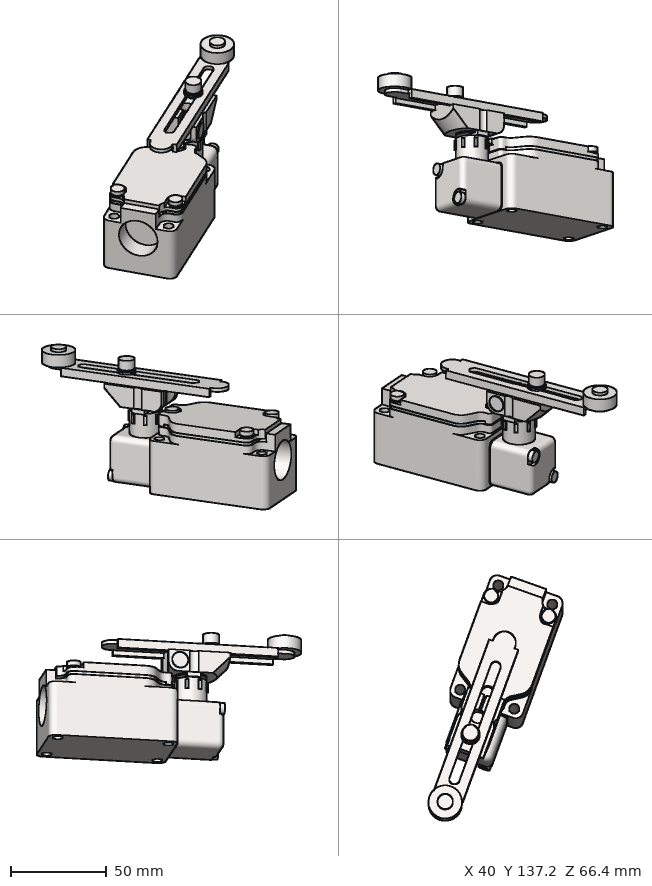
import cadquery as cq
import math


HOUSING_WIDTH = 40.0
HOUSING_LENGTH = 68.5
HOUSING_CORNER_R = 4.0
EAR_Z = 29.2
MOUNT_HOLE_D = 5.2
MOUNT_HOLE_X = 15.0
MOUNT_HOLE_FRONT_Y = 5.1
MOUNT_HOLE_REAR_Y = 63.8
CABLE_HOLE_D = 21.3
CABLE_HOLE_Z = 21.7
CABLE_HOLE_DEPTH = 11.0

NECK_HALF_WIDTH = 9.7
RAISED_FRONT_Y = 5.5
RAISED_REAR_Y = 67.2
EAR_POCKET_R = 4.3
REAR_POCKET_Y = 63.6
FRONT_SHOULDER_R = 3.5
REAR_SHOULDER_R = 7.5
REAR_SHOULDER_ANGLE = math.radians(32.3)
REAR_CORNER_R = 2.0

SEAL_Z = 33.7
COVER_Z = 35.4
COVER_TOP_Z = 40.5
SEAL_INSET = 0.4
REAR_SEAL_GAP = 0.3
ENTRY_BLOCK_TOP_Z = 38.4
ENTRY_BLOCK_DEPTH = 5.1

COVER_SCREW_D = 7.3
COVER_SCREW_NECK_D = 6.0
COVER_SCREW_TOP_Z = 41.3
COVER_SCREW_BOTTOM_Z = 38.5
SCREW_RECESS_Z = 37.6
SCREW_RECESS_R = 4.5
FRONT_SCREW_X = 15.9
FRONT_SCREW_Y = 13.5
REAR_SCREW_Y = 63.2

HEAD_WIDTH = 25.5
HEAD_BOTTOM_Z = 0.3
HEAD_TOP_Z = 25.9
HEAD_REAR_Y = 94.1
HEAD_EDGE_R = 3.3
HEAD_REAR_R = 3.0
FLANGE_MARGIN = 0.3
FLANGE_THICKNESS = 0.4
HEAD_SCREW_D = 6.2
HEAD_SCREW_X = 9.3
HEAD_SCREW_INSET_Z = 3.3
HEAD_SCREW_PROUD = 0.4
HEAD_SCREW_LENGTH = 2.7
HEAD_SCREW_POCKET_D = 9.6

SHAFT_Y = 78.5
BEARING_D = 17.1
BEARING_TOP_Z = 39.2
RIB_COUNT = 8
RIB_WIDTH = 1.6
RIB_RADIUS = 9.2
RIB_BOTTOM_Z = 33.0
RIB_TOP_Z = 38.0
SHAFT_D = 7.3
SHAFT_TOP_Z = 48.0

HUB_WIDTH = 20.0
HUB_FRONT_Y = 65.0
HUB_REAR_Y = 97.8
HUB_BOTTOM_Z = 41.7
HUB_FRONT_R = 5.1
HUB_RAMP_LENGTH = 5.5
HUB_RAMP_R = 20.2
HUB_SLIT = 1.2
HUB_BOSS_HEIGHT = 0.8
HUB_SPACER_D = 10.1
HUB_SPACER_HEIGHT = 0.4
POINTER_LENGTH = 19.7
POINTER_WIDTH = 7.1
FRONT_SCOOP_R = 15.1
FRONT_SCOOP_DEPTH = 1.6
SIDE_GROOVE_R = 3.2
SIDE_GROOVE_DEPTH = 1.03
CLAMP_SCREW_D = 8.5
CLAMP_SCREW_Y = 71.0
CLAMP_SCREW_Z = 47.7
CLAMP_SCREW_PROUD = 0.5
BOLT_Y = 89.4
BOLT_HEAD_D = 8.5
BOLT_HEAD_BOTTOM_Z = 60.0
BOLT_TOP_Z = 65.3
BOLT_WASHER_D = 9.7
BOLT_WASHER_THICKNESS = 1.1
BOLT_NECK_D = 8.1

ARM_WIDTH = 16.2
ARM_FRONT_Y = 38.5
ARM_REAR_Y = 123.5
ARM_BOTTOM_Z = 53.2
ARM_TOP_Z = 57.9
ARM_PLATE_THICKNESS = 2.0
CHANNEL_WIDTH = 12.1
TONGUE_TIP_Y = 31.4
SLOT_WIDTH = 5.3
SLOT_FRONT_Y = 48.1
SLOT_REAR_Y = 116.9

ROLLER_D = 17.5
OVERALL_LENGTH = 137.2
ROLLER_Y = OVERALL_LENGTH - ROLLER_D / 2
ROLLER_TOP_Z = 64.7
ROLLER_SEAT_R = 5.2
PIN_D = 8.1
PIN_TOP_Z = 66.4

CHANNEL_TOP_Z = ARM_TOP_Z - ARM_PLATE_THICKNESS


def block(width, y_range, z_range):
    """Box centred on X = 0."""
    length = y_range[1] - y_range[0]
    height = z_range[1] - z_range[0]
    return (
        cq.Workplane("XY", origin=(0, (y_range[0] + y_range[1]) / 2, z_range[0]))
        .box(width, length, height, centered=(True, True, False))
    )


def post(diameter, x, y, z_range):
    """Upright cylinder."""
    return (
        cq.Workplane("XY", origin=(x, y, z_range[0]))
        .circle(diameter / 2)
        .extrude(z_range[1] - z_range[0])
    )


def on_circle(centre, radius, angle):
    """Point on a circle, with the angle in radians from +X."""
    return (centre[0] + radius * math.cos(angle), centre[1] + radius * math.sin(angle))


def raised_outline(z):
    """Outline of the raised part and the cover, cut away around the four ears."""
    half_width = HOUSING_WIDTH / 2
    quarter = math.pi / 2
    slope = quarter - REAR_SHOULDER_ANGLE

    front_pocket = (NECK_HALF_WIDTH + EAR_POCKET_R, RAISED_FRONT_Y)
    front_shoulder = (half_width - FRONT_SHOULDER_R, RAISED_FRONT_Y + EAR_POCKET_R + FRONT_SHOULDER_R)
    rear_pocket = (NECK_HALF_WIDTH + EAR_POCKET_R, REAR_POCKET_Y)
    rear_corner = (NECK_HALF_WIDTH - REAR_CORNER_R, RAISED_REAR_Y - REAR_CORNER_R)

    shoulder_x = half_width - REAR_SHOULDER_R
    shoulder_drop = (
        EAR_POCKET_R + REAR_SHOULDER_R + (shoulder_x - rear_pocket[0]) * math.cos(slope)
    ) / math.sin(slope)
    rear_shoulder = (shoulder_x, REAR_POCKET_Y - shoulder_drop)

    return (
        cq.Workplane("XY", origin=(0, 0, z))
        .moveTo(0, RAISED_FRONT_Y)
        .lineTo(NECK_HALF_WIDTH, RAISED_FRONT_Y)
        .threePointArc(
            on_circle(front_pocket, EAR_POCKET_R, 1.5 * quarter),
            on_circle(front_pocket, EAR_POCKET_R, quarter),
        )
        .lineTo(*on_circle(front_shoulder, FRONT_SHOULDER_R, -quarter))
        .threePointArc(
            on_circle(front_shoulder, FRONT_SHOULDER_R, -quarter / 2),
            on_circle(front_shoulder, FRONT_SHOULDER_R, 0),
        )
        .lineTo(*on_circle(rear_shoulder, REAR_SHOULDER_R, 0))
        .threePointArc(
            on_circle(rear_shoulder, REAR_SHOULDER_R, slope / 2),
            on_circle(rear_shoulder, REAR_SHOULDER_R, slope),
        )
        .lineTo(*on_circle(rear_pocket, EAR_POCKET_R, math.pi + slope))
        .threePointArc(
            on_circle(rear_pocket, EAR_POCKET_R, math.pi + slope / 2),
            on_circle(rear_pocket, EAR_POCKET_R, math.pi),
        )
        .lineTo(*on_circle(rear_corner, REAR_CORNER_R, 0))
        .threePointArc(
            on_circle(rear_corner, REAR_CORNER_R, quarter / 2),
            on_circle(rear_corner, REAR_CORNER_R, quarter),
        )
        .lineTo(0, RAISED_REAR_Y)
        .mirrorY()
    )


def make_case():
    """Lower case with its cable entry block, ears and mounting holes."""
    case = block(HOUSING_WIDTH, (0, HOUSING_LENGTH), (0, EAR_Z)).edges("|Z").fillet(HOUSING_CORNER_R)
    case = case.union(raised_outline(EAR_Z).extrude(SEAL_Z - EAR_Z))
    entry_width = 2 * NECK_HALF_WIDTH
    case = case.union(block(entry_width, (0, RAISED_FRONT_Y), (EAR_Z, SEAL_Z)))
    case = case.union(block(entry_width, (0, ENTRY_BLOCK_DEPTH), (SEAL_Z, ENTRY_BLOCK_TOP_Z)))
    for x in (-MOUNT_HOLE_X, MOUNT_HOLE_X):
        for y in (MOUNT_HOLE_FRONT_Y, MOUNT_HOLE_REAR_Y):
            case = case.cut(post(MOUNT_HOLE_D, x, y, (0, EAR_Z)))
    cable_hole = (
        cq.Workplane("XZ", origin=(0, 0, CABLE_HOLE_Z))
        .circle(CABLE_HOLE_D / 2)
        .extrude(-CABLE_HOLE_DEPTH)
    )
    return case.cut(cable_hole)


def make_seal():
    """Narrower layer between case and cover, stopping short of the front ears."""
    seal_front_y = RAISED_FRONT_Y + EAR_POCKET_R
    layer = raised_outline(SEAL_Z).offset2D(-SEAL_INSET).extrude(COVER_Z - SEAL_Z)
    return layer.intersect(block(HOUSING_WIDTH, (seal_front_y, RAISED_REAR_Y), (SEAL_Z, COVER_Z)))


def make_cover():
    """Cover plate with a rear tab and three recessed screws."""
    cover = raised_outline(COVER_Z).extrude(COVER_TOP_Z - COVER_Z)
    tab_z = SEAL_Z + REAR_SEAL_GAP
    tab_zone = block(HOUSING_WIDTH, (REAR_POCKET_Y, RAISED_REAR_Y), (tab_z, COVER_Z))
    cover = cover.union(raised_outline(tab_z).extrude(COVER_Z - tab_z).intersect(tab_zone))

    recess_z = (SCREW_RECESS_Z, COVER_TOP_Z)
    screws = [(-FRONT_SCREW_X, FRONT_SCREW_Y), (FRONT_SCREW_X, FRONT_SCREW_Y), (0, REAR_SCREW_Y)]
    for x, y in screws:
        cover = cover.cut(post(2 * SCREW_RECESS_R, x, y, recess_z))
    for side in (-1, 1):
        open_size = 2 * SCREW_RECESS_R
        to_side = block(open_size, (FRONT_SCREW_Y - SCREW_RECESS_R, FRONT_SCREW_Y + SCREW_RECESS_R), recess_z)
        to_front = block(open_size, (RAISED_FRONT_Y, FRONT_SCREW_Y), recess_z)
        cover = cover.cut(to_side.translate((side * (FRONT_SCREW_X + SCREW_RECESS_R), 0, 0)))
        cover = cover.cut(to_front.translate((side * FRONT_SCREW_X, 0, 0)))
    for x, y in screws:
        cover = cover.union(post(COVER_SCREW_NECK_D, x, y, (SCREW_RECESS_Z, COVER_SCREW_BOTTOM_Z)))
        cover = cover.union(post(COVER_SCREW_D, x, y, (COVER_SCREW_BOTTOM_Z, COVER_SCREW_TOP_Z)))
    return cover


def make_housing():
    return make_case().union(make_seal()).union(make_cover())


def make_head():
    """Head box with its flange, rear screws, ribbed bearing and lever shaft."""
    head = block(HEAD_WIDTH, (HOUSING_LENGTH, HEAD_REAR_Y), (HEAD_BOTTOM_Z, HEAD_TOP_Z))
    head = head.edges("|Y").fillet(HEAD_EDGE_R).faces(">Y").edges().fillet(HEAD_REAR_R)

    flange = block(
        HEAD_WIDTH + 2 * FLANGE_MARGIN,
        (HOUSING_LENGTH, HOUSING_LENGTH + FLANGE_THICKNESS),
        (HEAD_BOTTOM_Z, HEAD_TOP_Z + FLANGE_MARGIN),
    )
    head = head.union(flange.edges("|Y").fillet(HEAD_EDGE_R))

    screw_end_y = HEAD_REAR_Y + HEAD_SCREW_PROUD
    lower_left = (-HEAD_SCREW_X, HEAD_BOTTOM_Z + HEAD_SCREW_INSET_Z)
    upper_right = (HEAD_SCREW_X, HEAD_TOP_Z - HEAD_SCREW_INSET_Z)
    for x, z in (lower_left, upper_right):
        axis = cq.Workplane("XZ", origin=(x, screw_end_y, z))
        head = head.cut(axis.circle(HEAD_SCREW_POCKET_D / 2).extrude(HEAD_SCREW_LENGTH))
        head = head.union(axis.circle(HEAD_SCREW_D / 2).extrude(HEAD_SCREW_LENGTH))

    bearing = post(BEARING_D, 0, SHAFT_Y, (HEAD_TOP_Z, BEARING_TOP_Z))
    for index in range(RIB_COUNT):
        rib = (
            cq.Workplane("XY", origin=(0, 0, RIB_BOTTOM_Z))
            .center(RIB_RADIUS / 2, 0)
            .rect(RIB_RADIUS, RIB_WIDTH)
            .extrude(RIB_TOP_Z - RIB_BOTTOM_Z)
            .rotate((0, 0, 0), (0, 0, 1), (index + 0.5) * 360 / RIB_COUNT)
            .translate((0, SHAFT_Y, 0))
        )
        bearing = bearing.union(rib)
    head = head.union(bearing)
    return head.union(post(SHAFT_D, 0, SHAFT_Y, (BEARING_TOP_Z, SHAFT_TOP_Z)))


def ramp_crown():
    """Large cylinder along the 45 degree ramp; its underside crowns the rear end of the hub."""
    slope = math.sqrt(0.5)
    ramp_start = (0, HUB_REAR_Y - HUB_RAMP_LENGTH, HUB_BOTTOM_Z)
    axis_point = (0, ramp_start[1] - HUB_RAMP_R * slope, ramp_start[2] + HUB_RAMP_R * slope)
    plane = cq.Plane(origin=axis_point, xDir=(1, 0, 0), normal=(0, slope, slope))
    hub_length = HUB_REAR_Y - HUB_FRONT_Y
    return cq.Workplane(plane).circle(HUB_RAMP_R).extrude(2 * hub_length, both=True)


def make_hub():
    """Clamping hub with a tongue that fits the arm channel, its clamp screw and the arm bolt."""
    hub = block(HUB_WIDTH, (HUB_FRONT_Y, HUB_REAR_Y), (HUB_BOTTOM_Z, ARM_BOTTOM_Z))
    hub = hub.faces("<Z").edges("<Y").fillet(HUB_FRONT_R)
    hub = hub.intersect(ramp_crown())
    hub = hub.union(block(CHANNEL_WIDTH, (HUB_FRONT_Y, HUB_REAR_Y), (ARM_BOTTOM_Z, CHANNEL_TOP_Z)))

    boss_bottom_z = HUB_BOTTOM_Z - HUB_BOSS_HEIGHT
    cut_z = (BEARING_TOP_Z, CHANNEL_TOP_Z)
    hub = hub.union(post(BEARING_D, 0, SHAFT_Y, (boss_bottom_z, HUB_BOTTOM_Z)))
    pointer_y = (SHAFT_Y - POINTER_WIDTH / 2, SHAFT_Y + POINTER_WIDTH / 2)
    spacer_z = (BEARING_TOP_Z, BEARING_TOP_Z + HUB_SPACER_HEIGHT)
    hub = hub.union(block(POINTER_LENGTH, pointer_y, (BEARING_TOP_Z, HUB_BOTTOM_Z)))
    hub = hub.union(post(HUB_SPACER_D, 0, SHAFT_Y, spacer_z))
    scoop_y = HUB_FRONT_Y + FRONT_SCOOP_DEPTH - FRONT_SCOOP_R
    hub = hub.cut(post(2 * FRONT_SCOOP_R, 0, scoop_y, cut_z))
    groove_x = HUB_WIDTH / 2 - SIDE_GROOVE_DEPTH + SIDE_GROOVE_R
    for x in (-groove_x, groove_x):
        hub = hub.cut(post(2 * SIDE_GROOVE_R, x, SHAFT_Y, (HUB_BOTTOM_Z, ARM_BOTTOM_Z)))

    hub = hub.cut(post(SHAFT_D, 0, SHAFT_Y, cut_z))
    hub = hub.cut(block(HUB_SLIT, (HUB_FRONT_Y, SHAFT_Y), cut_z))

    clamp_screw = (
        cq.Workplane("YZ", origin=(HUB_WIDTH / 2, CLAMP_SCREW_Y, CLAMP_SCREW_Z))
        .circle(CLAMP_SCREW_D / 2)
        .extrude(CLAMP_SCREW_PROUD)
    )
    hub = hub.union(clamp_screw)

    washer_top_z = ARM_TOP_Z + BOLT_WASHER_THICKNESS
    hub = hub.union(post(SLOT_WIDTH, 0, BOLT_Y, (CHANNEL_TOP_Z, ARM_TOP_Z)))
    hub = hub.union(post(BOLT_WASHER_D, 0, BOLT_Y, (ARM_TOP_Z, washer_top_z)))
    hub = hub.union(post(BOLT_NECK_D, 0, BOLT_Y, (washer_top_z, BOLT_HEAD_BOTTOM_Z)))
    return hub.union(post(BOLT_HEAD_D, 0, BOLT_Y, (BOLT_HEAD_BOTTOM_Z, BOLT_TOP_Z)))


def make_arm():
    """Slotted channel arm with a round tongue in front and a round roller seat behind."""
    arm = block(ARM_WIDTH, (ARM_FRONT_Y, ARM_REAR_Y), (ARM_BOTTOM_Z, ARM_TOP_Z))
    arm = arm.cut(block(CHANNEL_WIDTH, (ARM_FRONT_Y, ARM_REAR_Y), (ARM_BOTTOM_Z, CHANNEL_TOP_Z)))
    plate_z = (CHANNEL_TOP_Z, ARM_TOP_Z)
    tongue_y = TONGUE_TIP_Y + CHANNEL_WIDTH / 2
    arm = arm.union(block(CHANNEL_WIDTH, (tongue_y, ARM_FRONT_Y), plate_z))
    arm = arm.union(post(CHANNEL_WIDTH, 0, tongue_y, plate_z))
    arm = arm.union(block(2 * ROLLER_SEAT_R, (ARM_REAR_Y, ROLLER_Y), plate_z))
    arm = arm.union(post(2 * ROLLER_SEAT_R, 0, ROLLER_Y, plate_z))
    slot = (
        cq.Workplane("XY", origin=(0, (SLOT_FRONT_Y + SLOT_REAR_Y) / 2, CHANNEL_TOP_Z))
        .slot2D(SLOT_REAR_Y - SLOT_FRONT_Y, SLOT_WIDTH, 90)
        .extrude(ARM_PLATE_THICKNESS)
    )
    return arm.cut(slot)


def make_roller():
    """Roller with the end of its pin on top."""
    roller = post(ROLLER_D, 0, ROLLER_Y, (ARM_TOP_Z, ROLLER_TOP_Z))
    return roller.union(post(PIN_D, 0, ROLLER_Y, (ROLLER_TOP_Z, PIN_TOP_Z)))


housing = make_housing()
head = make_head()
hub = make_hub()
arm = make_arm()
roller = make_roller()

result = cq.Compound.makeCompound([housing.val(), head.val(), hub.val(), arm.val(), roller.val()])